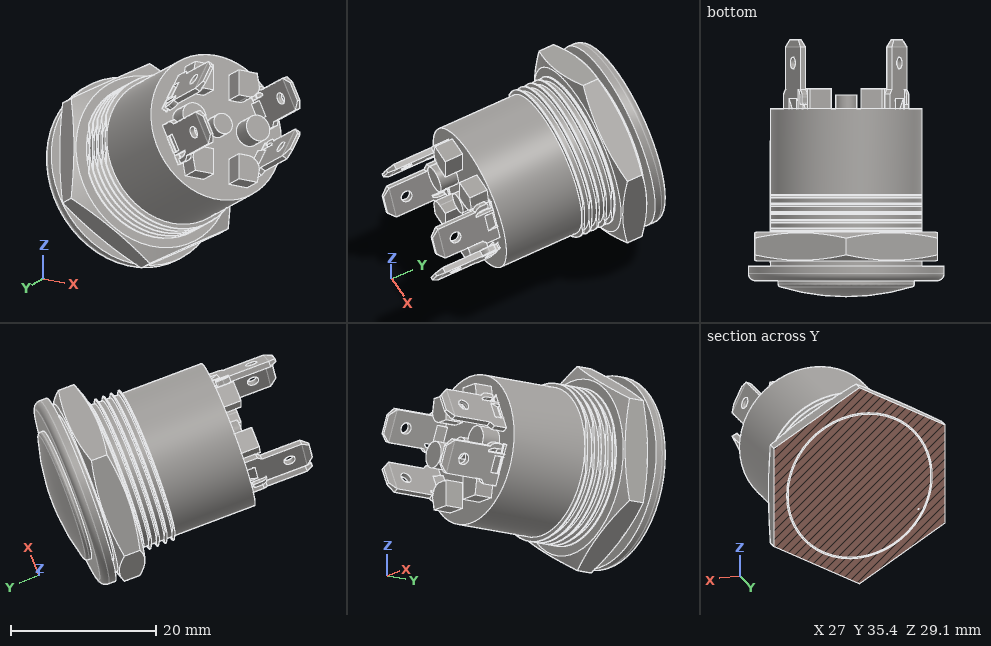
import cadquery as cq

dome_top = 4.2
dome_rise = 1.45
button_diameter = 18.8
button_round = 0.45
flange_diameter = 26.95
flange_thickness = 2.0
flange_round = 1.0

body_diameter = 20.9
body_length = 21.7
thread_diameter = 22.08
thread_base_width = 0.45
thread_crest_width = 0.18
thread_root_overlap = 0.35
thread_pitch = 1.15
thread_count = 8
last_thread = 9.62

nut_corner_diameter = 29.1
nut_face_diameter = 24.62
nut_bore = 21.35
nut_start = 0.7
nut_thickness = 4.0
nut_bevel = 0.85

centre_post_diameter = 2.95
centre_post_length = 1.88
side_post_diameter = 3.7
side_post_x = 5.1
rear_length = 2.72
block_inner_x = 2.0
block_outer_x = 5.3
block_top_x = 4.95
block_low_z = 4.28
block_high_z = 7.93
block_round = 1.77

terminal_x = 6.97
terminal_z = 3.68
terminal_tilt = 26.0
blade_thickness = 0.8
blade_half_width = 2.37
blade_length = 9.48
blade_tip_length = 1.03
blade_tip_thickness = 0.42
blade_hole_diameter = 1.6
blade_hole_distance = 6.25
base_half_width = 2.95
base_straight = 2.0
base_length = 2.6
hook_width = 0.7
hook_straight = 1.55
hook_gap = 0.55
hook_tip_round = 0.2
slot_side = 1.6
slot_end_width = 0.25
tab_width = 2.4
tab_length = 1.38
tab_offset = 0.5
pocket_depth = 0.18

rear_plane = cq.Workplane("XZ", origin=(0, -body_length, 0))


def revolve(profile):
    return profile.close().revolve(360, (0, 0), (0, 1))


def make_button():
    radius = button_diameter / 2
    edge_y = dome_top - dome_rise
    dome_radius = (radius**2 + dome_rise**2) / (2 * dome_rise)
    button = revolve(
        cq.Workplane("XY")
        .lineTo(radius, 0)
        .lineTo(radius, edge_y)
        .radiusArc((0, dome_top), -dome_radius)
    )
    rim = button.faces("%CYLINDER").edges("%CIRCLE").edges(">Y")
    return rim.fillet(button_round)


def make_flange():
    flange = cq.Workplane("XZ").circle(flange_diameter / 2).extrude(-flange_thickness)
    return flange.faces(">Y").edges().fillet(flange_round)


def make_body():
    body = cq.Workplane("XZ").circle(body_diameter / 2).extrude(body_length)
    for index in range(thread_count):
        body = body.union(make_thread(-last_thread + index * thread_pitch))
    return body


def make_thread(y):
    """One ridge, flattened on the +X and -X sides."""
    crest_radius = thread_diameter / 2
    root_radius = body_diameter / 2
    inner_radius = root_radius - thread_root_overlap
    ridge = revolve(
        cq.Workplane("XY")
        .moveTo(inner_radius, y - thread_base_width / 2)
        .lineTo(root_radius, y - thread_base_width / 2)
        .lineTo(crest_radius, y - thread_crest_width / 2)
        .lineTo(crest_radius, y + thread_crest_width / 2)
        .lineTo(root_radius, y + thread_base_width / 2)
        .lineTo(inner_radius, y + thread_base_width / 2)
    )
    between_flats = cq.Workplane("XY").box(body_diameter, 2 * body_length, 2 * thread_diameter)
    return ridge.intersect(between_flats)


def make_nut():
    nut = (
        cq.Workplane("XZ", origin=(0, -nut_start, 0))
        .transformed(rotate=(0, 0, 90))
        .polygon(6, nut_corner_diameter)
        .extrude(nut_thickness)
    )
    front_y = -nut_start
    rear_y = front_y - nut_thickness
    corner_radius = nut_corner_diameter / 2
    bevelled = revolve(
        cq.Workplane("XY")
        .moveTo(0, rear_y)
        .lineTo(nut_face_diameter / 2, rear_y)
        .lineTo(corner_radius, rear_y + nut_bevel)
        .lineTo(corner_radius, front_y - nut_bevel)
        .lineTo(nut_face_diameter / 2, front_y)
        .lineTo(0, front_y)
    )
    bore = cq.Workplane("XZ").circle(nut_bore / 2).extrude(body_length)
    return nut.intersect(bevelled).cut(bore)


def make_posts():
    centre = rear_plane.circle(centre_post_diameter / 2).extrude(centre_post_length)
    sides = (
        rear_plane.pushPoints([(-side_post_x, 0), (side_post_x, 0)])
        .circle(side_post_diameter / 2)
        .extrude(rear_length)
    )
    return centre.union(sides)


def make_blocks():
    block = (
        rear_plane.moveTo(block_inner_x, block_low_z)
        .lineTo(block_outer_x - block_round, block_low_z)
        .radiusArc((block_outer_x, block_low_z + block_round), -block_round)
        .lineTo(block_top_x, block_high_z)
        .lineTo(block_inner_x, block_high_z)
        .close()
        .extrude(rear_length)
    )
    pair = block.union(block.mirror("YZ"))
    return pair.union(pair.mirror("XY"))


def make_terminal():
    """Blade centred on the axis, with its outer face towards +X and its hook towards +Z."""
    width_plane = cq.Plane(origin=(0, -body_length, 0), xDir=(0, 0, 1), normal=(1, 0, 0))
    tip_start = blade_length - blade_tip_length
    tip_half_width = blade_half_width - blade_tip_length
    hook_inner = base_half_width - hook_width
    bend_drop = base_half_width - blade_half_width
    bend_run = base_length - hook_straight
    hook_bend = (bend_drop**2 + bend_run**2) / (2 * bend_drop)
    outline = (
        cq.Workplane(width_plane)
        .moveTo(-base_half_width, -pocket_depth)
        .lineTo(-base_half_width, base_straight)
        .lineTo(-blade_half_width, base_length)
        .lineTo(-blade_half_width, tip_start)
        .lineTo(-tip_half_width, blade_length)
        .lineTo(tip_half_width, blade_length)
        .lineTo(blade_half_width, tip_start)
        .lineTo(blade_half_width, base_length)
        .radiusArc((base_half_width, hook_straight), hook_bend)
        .lineTo(base_half_width, hook_gap + hook_tip_round)
        .radiusArc((base_half_width - hook_tip_round, hook_gap), hook_tip_round)
        .lineTo(hook_inner + hook_tip_round, hook_gap)
        .radiusArc((hook_inner, hook_gap + hook_tip_round), hook_tip_round)
        .lineTo(hook_inner, hook_straight)
        .tangentArcPoint((slot_side + slot_end_width, base_length), relative=False)
        .lineTo(slot_side, base_length)
        .lineTo(slot_side, -pocket_depth)
        .close()
    )
    blade = outline.extrude(blade_thickness / 2, both=True)

    rear_section = cq.Workplane("XY", origin=(0, -body_length, 0))
    half_thickness = blade_thickness / 2
    thickness_section = (
        rear_section.moveTo(-half_thickness, pocket_depth)
        .lineTo(-half_thickness, -tip_start)
        .lineTo(-blade_tip_thickness / 2, -blade_length)
        .lineTo(blade_tip_thickness / 2, -blade_length)
        .lineTo(half_thickness, -tip_start)
        .lineTo(half_thickness, pocket_depth)
        .close()
        .extrude(2 * base_half_width, both=True)
    )
    hole = (
        cq.Workplane(width_plane)
        .center(0, blade_hole_distance)
        .circle(blade_hole_diameter / 2)
        .extrude(blade_thickness, both=True)
    )
    window = (
        cq.Workplane(width_plane)
        .center(0, (tab_length - pocket_depth) / 2)
        .rect(tab_width, tab_length + pocket_depth)
        .extrude(blade_thickness, both=True)
    )
    tab = (
        rear_section.moveTo(half_thickness, -tab_length)
        .lineTo(half_thickness - tab_offset, 0)
        .lineTo(half_thickness - tab_offset, pocket_depth)
        .lineTo(-half_thickness - tab_offset, pocket_depth)
        .lineTo(-half_thickness - tab_offset, 0)
        .lineTo(-half_thickness, -tab_length)
        .close()
        .extrude(tab_width / 2, both=True)
    )
    return blade.intersect(thickness_section).cut(hole).cut(window).union(tab)


def make_pocket():
    """Shallow recess in the rear face that the base of a terminal stands in."""
    return rear_plane.rect(blade_thickness, 2 * base_half_width).extrude(-pocket_depth)


def place(feature, side_x, side_z):
    """Turn a feature from the +X direction into the quadrant given by the two signs."""
    tilt = side_x * side_z * terminal_tilt
    angle = tilt if side_x > 0 else 180 + tilt
    turned = feature.rotate((0, 0, 0), (0, -1, 0), angle)
    return turned.translate((side_x * terminal_x, 0, side_z * terminal_z))


result = make_body().union(make_flange()).union(make_button()).union(make_nut())
result = result.union(make_posts()).union(make_blocks())

pocket = make_pocket()
terminal = make_terminal()
for side_x in (-1, 1):
    for side_z in (-1, 1):
        result = result.cut(place(pocket, side_x, side_z))
        result = result.union(place(terminal, side_x, side_z))